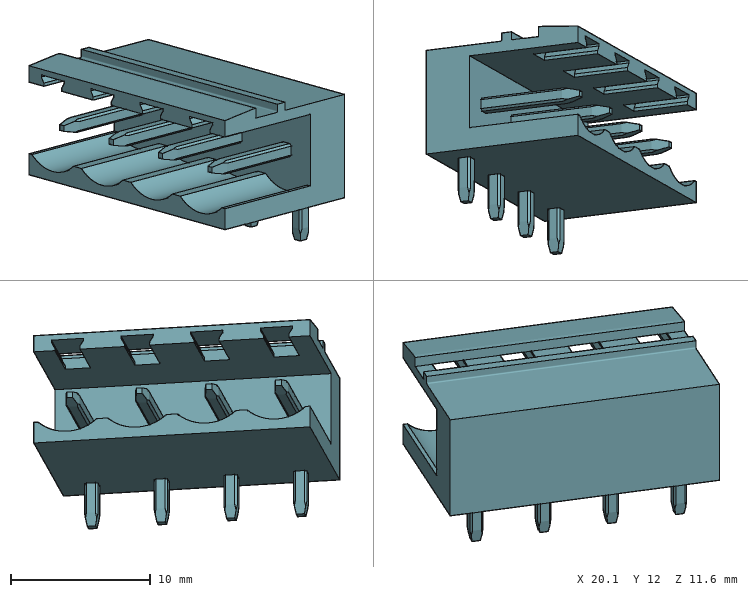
import cadquery as cq

WIDTH = 20.12
DEPTH = 12.0
PIN_COUNT = 4
PITCH = 5.07

BLOCK_DEPTH = 3.45
ROOF_TOP = 7.7
ROOF_UNDERSIDE = 6.9
FLOOR_TOP = 1.57

RIB_REAR = DEPTH - 5.98
RIB_WIDTH = 0.76
RIB_FILLET = 0.1
RIB_TOP = 8.3
LATCH_DEPTH = 3.12
LATCH_FLAT = 0.35
LATCH_TOP = 8.43
LATCH_FRONT_TOP = 8.13

TROUGH_WIDTH = 4.27
TROUGH_BOTTOM = 0.75

SLOT_LENGTH = 4.2
SLOT_TOP_WIDTH = 2.33
SLOT_NECK_WIDTH = 1.83
SLOT_FLARE_BOTTOM = 7.15
SLOT_FLARE_TOP = 7.55

PIN_SIZE = 0.99
PIN_CHAMFER = 0.16
CONTACT_Z = 3.8
CONTACT_TIP_Y = 0.9
CONTACT_TIP_LENGTH = 1.25
CONTACT_TIP_SIZE = 0.42
TAIL_Y = DEPTH - 2.03
TAIL_TIP_Z = -3.2
TAIL_TIP_LENGTH = 0.95
TAIL_TIP_SIZE = 0.6

BLOCK_FRONT = DEPTH - BLOCK_DEPTH
PIN_POSITIONS = [(i - (PIN_COUNT - 1) / 2) * PITCH for i in range(PIN_COUNT)]


def make_shell():
    """Side profile of the housing, extruded over the full width."""
    rib_front = RIB_REAR - RIB_WIDTH
    profile = [
        (0, 0),
        (DEPTH, 0),
        (DEPTH, ROOF_TOP),
        (RIB_REAR, ROOF_TOP),
        (RIB_REAR, RIB_TOP),
        (rib_front, RIB_TOP),
        (rib_front, ROOF_TOP),
        (LATCH_DEPTH, ROOF_TOP),
        (LATCH_DEPTH, LATCH_TOP),
        (LATCH_DEPTH - LATCH_FLAT, LATCH_TOP),
        (0, LATCH_FRONT_TOP),
        (0, ROOF_UNDERSIDE),
        (BLOCK_FRONT, ROOF_UNDERSIDE),
        (BLOCK_FRONT, FLOOR_TOP),
        (0, FLOOR_TOP),
    ]
    shell = cq.Workplane("YZ").polyline(profile).close().extrude(WIDTH / 2, both=True)
    rib_feet = cq.selectors.BoxSelector(
        (-WIDTH, rib_front - RIB_FILLET, ROOF_TOP - RIB_FILLET),
        (WIDTH, RIB_REAR + RIB_FILLET, ROOF_TOP + RIB_FILLET),
    )
    return shell.edges("|X").edges(rib_feet).fillet(RIB_FILLET)


def make_trough(x):
    """Circular-segment trough from the front edge back to the block."""
    half = TROUGH_WIDTH / 2
    return (
        cq.Workplane("XZ")
        .moveTo(x - half, FLOOR_TOP)
        .threePointArc((x, TROUGH_BOTTOM), (x + half, FLOOR_TOP))
        .close()
        .extrude(-BLOCK_FRONT)
    )


def make_key_slot(x):
    """Slot through the roof, narrow below and flared above."""
    neck = SLOT_NECK_WIDTH / 2
    top = SLOT_TOP_WIDTH / 2
    profile = [
        (x - neck, ROOF_UNDERSIDE),
        (x + neck, ROOF_UNDERSIDE),
        (x + neck, SLOT_FLARE_BOTTOM),
        (x + top, SLOT_FLARE_TOP),
        (x + top, ROOF_TOP),
        (x - top, ROOF_TOP),
        (x - top, SLOT_FLARE_TOP),
        (x - neck, SLOT_FLARE_BOTTOM),
    ]
    return cq.Workplane("XZ").polyline(profile).close().extrude(-SLOT_LENGTH)


def make_bar(length, tip_length, tip_size):
    """Bar from the origin along +Z: chamfered long edges and a tapered tip."""
    bar = cq.Workplane("XY").rect(PIN_SIZE, PIN_SIZE).extrude(length).edges("|Z").chamfer(PIN_CHAMFER)
    shaft_length = length - tip_length
    envelope = (
        cq.Workplane("XY")
        .rect(PIN_SIZE, PIN_SIZE)
        .extrude(shaft_length)
        .faces(">Z")
        .workplane()
        .rect(PIN_SIZE, PIN_SIZE)
        .workplane(offset=tip_length)
        .rect(tip_size, tip_size)
        .loft()
    )
    return bar.intersect(envelope)


def make_pin(x):
    """L-shaped pin: each bar runs to the outer face of the other one."""
    heel_y = TAIL_Y + PIN_SIZE / 2
    heel_z = CONTACT_Z + PIN_SIZE / 2
    contact = (
        make_bar(heel_y - CONTACT_TIP_Y, CONTACT_TIP_LENGTH, CONTACT_TIP_SIZE)
        .rotate((0, 0, 0), (1, 0, 0), 90)
        .translate((x, heel_y, CONTACT_Z))
    )
    tail = (
        make_bar(heel_z - TAIL_TIP_Z, TAIL_TIP_LENGTH, TAIL_TIP_SIZE)
        .rotate((0, 0, 0), (1, 0, 0), 180)
        .translate((x, TAIL_Y, heel_z))
    )
    return contact.union(tail)


pins = [make_pin(x) for x in PIN_POSITIONS]

housing = make_shell()
for x, pin in zip(PIN_POSITIONS, pins):
    housing = housing.cut(make_trough(x)).cut(make_key_slot(x)).cut(pin)

result = cq.Compound.makeCompound([housing.val(), *[pin.val() for pin in pins]])